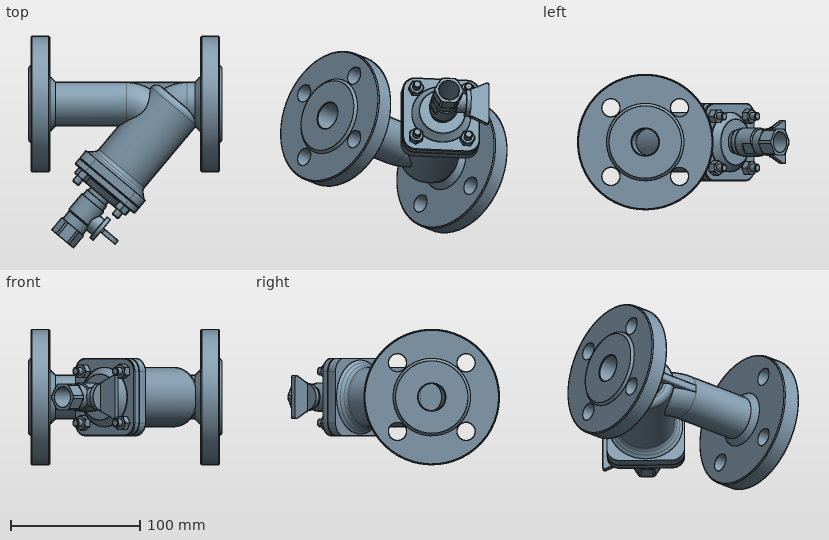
import cadquery as cq
import math


FACE_TO_FACE = 150.0
FLANGE_DIA = 105.0
FLANGE_THICKNESS = 14.6
FLANGE_EDGE_CHAMFER = 0.8
RAISED_FACE_DIA = 60.0
RAISED_FACE_HEIGHT = 2.0
PIPE_DIA = 34.0
BORE_DIA = 21.0
BORE_MOUTH_DIA = 22.0
HUB_LENGTH = 4.6
BOLT_HOLE_DIA = 14.0
BOLT_CIRCLE_DIA = 75.0

FACE_X = FACE_TO_FACE / 2
FLANGE_FRONT_X = FACE_X - RAISED_FACE_HEIGHT
FLANGE_BACK_X = FLANGE_FRONT_X - FLANGE_THICKNESS
HUB_END_X = FLANGE_BACK_X - HUB_LENGTH

BRANCH_ANGLE = 50.0
INLET_BEND_START_X = 0.8
OUTLET_BEND_START_X = 47.9
BEND_RADIUS = 20.2
BEND_ANGLE = BRANCH_ANGLE
WEB_THICKNESS = 6.5
WEB_DEPTH = 13.1
WEB_EDGE_FILLET = 0.74

BRANCH_ORIGIN_X = 39.0
BRANCH_DIA = 46.0
BRANCH_TOP = -3.1
BRANCH_TOP_FILLET = 5.4
PLATE_SIDE = 60.0
PLATE_CORNER_RADIUS = 10.0
BODY_PLATE_TOP = 72.1
BODY_PLATE_END = 79.5
ROOT_FILLET = 4.6
FLARE_END = 70.3
FLARE_LENGTH = 2.1
FLARE_FOOT_DIA = 57.4

JOINT_GAP = 0.7
COVER_TOP = BODY_PLATE_END + JOINT_GAP
COVER_END = COVER_TOP + 5.4
COVER_CHAMFER = 0.7
DOME_RIM = 0.7
DOME_TIP_DIA = 36.4
DOME_TIP_CHAMFER = 0.5
DOME_HEIGHT = 5.9
DOME_END = COVER_END + DOME_HEIGHT

NECK_DIA = 18.0
NECK_END = 94.9
COLLAR_DIA = 20.0
COLLAR_END = 99.8
VALVE_DIA = 22.0
VALVE_END = 116.4
VALVE_FLAT_START = 107.0
VALVE_FLAT_ANGLE = 210.0
TAIL_DIA = COLLAR_DIA
HEX_START = 123.9
HEX_END = 136.2
HEX_FLATS = COLLAR_DIA
HEX_CORNER_DIA = VALVE_DIA
DRAIN_BORE_DIA = 16.0

STEM_HEIGHT = 111.5
BOSS_DIA = 15.0
DISC_DIA = 21.0
DISC_START = 15.5
DISC_END = 19.0
LEVER_FOOT_END = 20.7
LEVER_END = 34.0
LEVER_THICKNESS = 3.8
LEVER_ROOT_WIDTH = 23.0
LEVER_TIP_WIDTH = 35.4
LEVER_CORNER_RADIUS = 1.6

STUD_PITCH = 40.0
STUD_DIA = 6.0
STUD_TIP_DIA = 4.9
STUD_END = 96.9
STUD_DEPTH = STUD_DIA
NUT_FLATS = 10.0
NUT_HEIGHT = 5.5

BRANCH_COS = math.cos(math.radians(BRANCH_ANGLE))
BRANCH_SIN = math.sin(math.radians(BRANCH_ANGLE))


def branch_plane(height=0.0):
    """Plane square to the branch: local X across it in the XY plane, local Y up."""
    return cq.Plane(
        origin=(BRANCH_ORIGIN_X - height * BRANCH_COS, -height * BRANCH_SIN, 0),
        xDir=(BRANCH_SIN, -BRANCH_COS, 0),
        normal=(-BRANCH_COS, -BRANCH_SIN, 0),
    )


def branch_sketch(height):
    return cq.Workplane(branch_plane(height))


def branch_rod(diameter, start, end):
    return branch_sketch(start).circle(diameter / 2).extrude(end - start)


def branch_cone(start_dia, start, end_dia, end):
    cone = cq.Solid.makeCone(start_dia / 2, end_dia / 2, end - start)
    return cq.Workplane(cone.moved(cq.Location(branch_plane(start))))


def cover_plate(start, end):
    plate = branch_sketch(start).rect(PLATE_SIDE, PLATE_SIDE).extrude(end - start)
    corners = cq.selectors.ParallelDirSelector(cq.Vector(BRANCH_COS, BRANCH_SIN, 0))
    return plate.edges(corners).fillet(PLATE_CORNER_RADIUS)


def hexagon(flats, start, end, corners_on_x):
    across_corners = flats / math.cos(math.radians(30))
    turn = 0 if corners_on_x else 90
    sketch = branch_sketch(start).transformed(rotate=(0, 0, turn))
    return sketch.polygon(6, across_corners).extrude(end - start)


def end_flange():
    """Flange with hub and raised face at the +X end."""
    pipe_r = PIPE_DIA / 2
    flange_r = FLANGE_DIA / 2
    face_r = RAISED_FACE_DIA / 2
    chamfer = FLANGE_EDGE_CHAMFER
    outline = [
        (HUB_END_X, 0),
        (HUB_END_X, pipe_r),
        (FLANGE_BACK_X, pipe_r + HUB_LENGTH),
        (FLANGE_BACK_X, flange_r - chamfer),
        (FLANGE_BACK_X + chamfer, flange_r),
        (FLANGE_FRONT_X - chamfer, flange_r),
        (FLANGE_FRONT_X, flange_r - chamfer),
        (FLANGE_FRONT_X, face_r),
        (FACE_X, face_r - RAISED_FACE_HEIGHT),
        (FACE_X, 0),
    ]
    flange = cq.Workplane("XY").polyline(outline).close().revolve(360, (0, 0), (1, 0))
    holes = (
        cq.Workplane("YZ", origin=(FLANGE_BACK_X, 0, 0))
        .polarArray(BOLT_CIRCLE_DIA / 2, 45, 360, 4)
        .circle(BOLT_HOLE_DIA / 2)
        .extrude(FLANGE_THICKNESS)
    )
    return flange.cut(holes)


def bent_pipe(diameter, end_x, bend_x):
    """Straight length from end_x to bend_x, then an elbow that turns towards the branch."""
    direction = math.copysign(1, end_x)
    start = cq.Workplane("YZ", origin=(bend_x, 0, 0))
    straight = start.circle(diameter / 2).extrude(end_x - bend_x)
    elbow = start.circle(diameter / 2).revolve(BEND_ANGLE, (-BEND_RADIUS, 0), (-BEND_RADIUS, direction))
    return straight.union(elbow)


def inlet_pipe(diameter):
    return bent_pipe(diameter, -FACE_X, INLET_BEND_START_X)


def outlet_pipe(diameter):
    return bent_pipe(diameter, FACE_X, OUTLET_BEND_START_X)


def bore_mouth():
    """Small chamfer where the bore meets the +X end face."""
    depth = (BORE_MOUTH_DIA - BORE_DIA) / 2
    cone = cq.Solid.makeCone(
        BORE_MOUTH_DIA / 2, BORE_DIA / 2, depth, cq.Vector(FACE_X, 0, 0), cq.Vector(-1, 0, 0)
    )
    return cq.Workplane(cone)


def elbow_web():
    """Flat web that fills the notch between the two elbows, level with the pipe's back."""
    length = OUTLET_BEND_START_X - INLET_BEND_START_X
    middle_x = (OUTLET_BEND_START_X + INLET_BEND_START_X) / 2
    middle_y = (PIPE_DIA - WEB_DEPTH) / 2
    web = cq.Workplane("XY").box(length, WEB_DEPTH, WEB_THICKNESS)
    web = web.faces(">Y").edges("|X").fillet(WEB_EDGE_FILLET)
    return web.translate((middle_x, middle_y, 0))


def branch_stem():
    """Round branch with a rounded closed end and a flare that runs into its plate."""
    branch_r = BRANCH_DIA / 2
    end_r = BRANCH_TOP_FILLET
    half = math.sqrt(0.5)
    fillet_rise = ROOT_FILLET * half
    fillet_spread = ROOT_FILLET * (1 - half)
    fillet_end = FLARE_END - FLARE_LENGTH
    fillet_start = fillet_end - fillet_rise
    flare_r = branch_r + fillet_spread
    mid_angle = math.radians(22.5)
    base = branch_plane()
    profile = cq.Plane(origin=base.origin, xDir=base.xDir, normal=(0, 0, -1))
    return (
        cq.Workplane(profile)
        .moveTo(0, BRANCH_TOP)
        .lineTo(branch_r - end_r, BRANCH_TOP)
        .threePointArc(
            (branch_r - end_r * (1 - half), BRANCH_TOP + end_r * (1 - half)),
            (branch_r, BRANCH_TOP + end_r),
        )
        .lineTo(branch_r, fillet_start)
        .threePointArc(
            (
                branch_r + ROOT_FILLET * (1 - math.cos(mid_angle)),
                fillet_start + ROOT_FILLET * math.sin(mid_angle),
            ),
            (flare_r, fillet_end),
        )
        .lineTo(flare_r + FLARE_LENGTH, FLARE_END)
        .lineTo(FLARE_FOOT_DIA / 2, BODY_PLATE_TOP)
        .lineTo(0, BODY_PLATE_TOP)
        .close()
        .revolve(360, (0, 0), (0, 1))
    )


def make_body():
    """The bores stop at the branch, which is solid."""
    pipes = inlet_pipe(PIPE_DIA).union(outlet_pipe(PIPE_DIA)).union(elbow_web())
    bores = inlet_pipe(BORE_DIA).union(outlet_pipe(BORE_DIA))
    flange = end_flange()
    body = pipes.union(branch_stem())
    body = body.union(cover_plate(BODY_PLATE_TOP, BODY_PLATE_END))
    body = body.union(flange).union(flange.mirror("YZ"))
    body = body.cut(bores.cut(branch_stem()))
    return body.cut(bore_mouth()).cut(bore_mouth().mirror("YZ"))


def valve_flat():
    """Block that shaves one wrench flat on the valve."""
    size = VALVE_DIA
    return (
        branch_sketch(VALVE_FLAT_START)
        .transformed(rotate=(0, 0, VALVE_FLAT_ANGLE))
        .center(HEX_FLATS / 2 + size / 2, 0)
        .rect(size, size)
        .extrude(VALVE_END - VALVE_FLAT_START)
    )


def drain_valve():
    step = (VALVE_DIA - TAIL_DIA) / 2
    valve = branch_rod(VALVE_DIA, COLLAR_END, VALVE_END).cut(valve_flat())
    shoulder = branch_cone(VALVE_DIA, VALVE_END - step, TAIL_DIA, VALVE_END)
    valve = valve.intersect(branch_rod(VALVE_DIA, COLLAR_END, VALVE_END - step).union(shoulder))
    hex_end = hexagon(HEX_FLATS, HEX_START, HEX_END, True)
    hex_end = hex_end.intersect(branch_rod(HEX_CORNER_DIA, HEX_START, HEX_END))
    return (
        branch_rod(NECK_DIA, DOME_END, NECK_END)
        .union(branch_rod(COLLAR_DIA, NECK_END, COLLAR_END))
        .union(valve)
        .union(branch_rod(TAIL_DIA, VALVE_END, HEX_START))
        .union(hex_end)
    )


def stem_sketch(distance):
    """Sketch square to the stem: local X along the branch axis, local Y down."""
    base = branch_plane(STEM_HEIGHT)
    plane = cq.Plane(origin=base.toWorldCoords((distance, 0, 0)), xDir=base.zDir, normal=base.xDir)
    return cq.Workplane(plane)


def stem_and_lever():
    boss = stem_sketch(0).circle(BOSS_DIA / 2).extrude(DISC_START)
    disc = stem_sketch(DISC_START).circle(DISC_DIA / 2).extrude(DISC_END - DISC_START)
    outline = [
        (DISC_END, -LEVER_ROOT_WIDTH / 2),
        (LEVER_FOOT_END, -LEVER_ROOT_WIDTH / 2),
        (LEVER_END, -LEVER_TIP_WIDTH / 2),
        (LEVER_END, LEVER_TIP_WIDTH / 2),
        (LEVER_FOOT_END, LEVER_ROOT_WIDTH / 2),
        (DISC_END, LEVER_ROOT_WIDTH / 2),
    ]
    lever = branch_sketch(STEM_HEIGHT - LEVER_THICKNESS / 2).polyline(outline).close()
    lever = lever.extrude(LEVER_THICKNESS)
    tip = cq.selectors.DirectionMinMaxSelector(branch_plane().xDir)
    tip_corners = cq.selectors.ParallelDirSelector(branch_plane().zDir)
    lever = lever.faces(tip).edges(tip_corners).fillet(LEVER_CORNER_RADIUS)
    return boss.union(disc).union(lever)


def cover_dome():
    cone_start = COVER_END + DOME_RIM
    cone_end = DOME_END - DOME_TIP_CHAMFER
    face_dia = DOME_TIP_DIA - 2 * DOME_TIP_CHAMFER
    return (
        branch_rod(BRANCH_DIA, COVER_END, cone_start)
        .union(branch_cone(BRANCH_DIA, cone_start, DOME_TIP_DIA, cone_end))
        .union(branch_cone(DOME_TIP_DIA, cone_end, face_dia, DOME_END))
    )


def make_cover():
    outer_face = cq.selectors.DirectionMinMaxSelector(branch_plane().zDir)
    plate = cover_plate(COVER_TOP, COVER_END).faces(outer_face).edges().chamfer(COVER_CHAMFER)
    cover = (
        branch_rod(BRANCH_DIA, BODY_PLATE_END, COVER_TOP)
        .union(plate)
        .union(cover_dome())
        .union(drain_valve())
        .union(stem_and_lever())
    )
    return cover.cut(branch_rod(DRAIN_BORE_DIA, COLLAR_END, HEX_END))


def make_stud(x, y):
    """Stud with its nut, centred at (x, y) across the branch axis."""
    nut_end = COVER_END + NUT_HEIGHT
    corner_dia = NUT_FLATS / math.cos(math.radians(30))
    bevel = (corner_dia - NUT_FLATS) / 2 * math.tan(math.radians(30))
    nut = hexagon(NUT_FLATS, COVER_END, nut_end, x * y < 0)
    envelope = branch_rod(corner_dia, COVER_END, nut_end - bevel)
    nut = nut.intersect(envelope.union(branch_cone(corner_dia, nut_end - bevel, NUT_FLATS, nut_end)))
    tip_start = STUD_END - (STUD_DIA - STUD_TIP_DIA) / 2
    stud = (
        branch_rod(STUD_DIA, BODY_PLATE_END - STUD_DEPTH, tip_start)
        .union(branch_cone(STUD_DIA, tip_start, STUD_TIP_DIA, STUD_END))
        .union(nut)
    )
    base = branch_plane()
    shift = base.toWorldCoords((x, y, 0)) - base.origin
    return stud.translate(shift)


body = make_body()
cover = make_cover()
studs = []
for side in (-1, 1):
    for level in (-1, 1):
        stud = make_stud(side * STUD_PITCH / 2, level * STUD_PITCH / 2)
        body = body.cut(stud)
        cover = cover.cut(stud)
        studs.append(stud)

result = cq.Compound.makeCompound([body.val(), cover.val(), *[stud.val() for stud in studs]])